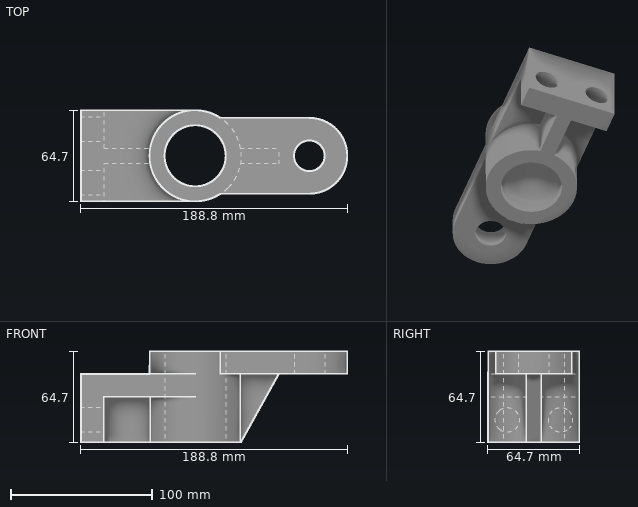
import cadquery as cq

unit = 5.394

barrel_diameter = 12 * unit
barrel_height = 12 * unit
bore_diameter = 8 * unit

plate_thickness = 3 * unit

arm_reach = 15 * unit
arm_width = 10 * unit
arm_hole_diameter = 4 * unit

bracket_length = 15 * unit
bracket_width = barrel_diameter
mount_hole_diameter = 3.2 * unit
mount_hole_spacing = 7 * unit
mount_hole_height = 3 * unit

web_thickness = 2 * unit
gusset_reach = 11 * unit

arm_bottom = barrel_height - plate_thickness
bracket_top = arm_bottom
bracket_underside = bracket_top - plate_thickness
flange_outer_x = -bracket_length
flange_inner_x = flange_outer_x + plate_thickness
barrel_radius = barrel_diameter / 2


def make_barrel():
    return cq.Workplane("XY").circle(barrel_radius).extrude(barrel_height)


def make_arm():
    """Flat arm from the barrel axis to a rounded end, flush with the barrel top."""
    half_width = arm_width / 2
    return (
        cq.Workplane("XY", origin=(0, 0, arm_bottom))
        .moveTo(0, -half_width)
        .lineTo(arm_reach, -half_width)
        .threePointArc((arm_reach + half_width, 0), (arm_reach, half_width))
        .lineTo(0, half_width)
        .close()
        .extrude(plate_thickness)
    )


def make_bracket():
    """L-shaped bracket: a top plate with a flange hanging from its outer end."""
    return (
        cq.Workplane("XZ")
        .moveTo(flange_outer_x, 0)
        .lineTo(flange_inner_x, 0)
        .lineTo(flange_inner_x, bracket_underside)
        .lineTo(0, bracket_underside)
        .lineTo(0, bracket_top)
        .lineTo(flange_outer_x, bracket_top)
        .close()
        .extrude(bracket_width / 2, both=True)
    )


def make_web():
    """Central web under the bracket plate, joining the flange to the barrel."""
    return (
        cq.Workplane("XZ")
        .moveTo(flange_outer_x, 0)
        .lineTo(0, 0)
        .lineTo(0, bracket_top)
        .lineTo(flange_outer_x, bracket_top)
        .close()
        .extrude(web_thickness / 2, both=True)
    )


def make_gusset():
    """Sloped central rib under the arm, running down to the foot of the barrel."""
    return (
        cq.Workplane("XZ")
        .moveTo(0, 0)
        .lineTo(barrel_radius, 0)
        .lineTo(gusset_reach, arm_bottom)
        .lineTo(0, arm_bottom)
        .close()
        .extrude(web_thickness / 2, both=True)
    )


def make_vertical_hole(x, diameter):
    return cq.Workplane("XY").center(x, 0).circle(diameter / 2).extrude(barrel_height)


def make_mount_holes():
    """Pair of holes through the flange, one on each side of the web."""
    half_spacing = mount_hole_spacing / 2
    return (
        cq.Workplane("YZ", origin=(flange_outer_x, 0, 0))
        .pushPoints([(-half_spacing, mount_hole_height), (half_spacing, mount_hole_height)])
        .circle(mount_hole_diameter / 2)
        .extrude(plate_thickness)
    )


body = make_barrel()
for member in (make_arm(), make_bracket(), make_web(), make_gusset()):
    body = body.union(member)

result = (
    body.cut(make_vertical_hole(0, bore_diameter))
    .cut(make_vertical_hole(arm_reach, arm_hole_diameter))
    .cut(make_mount_holes())
)